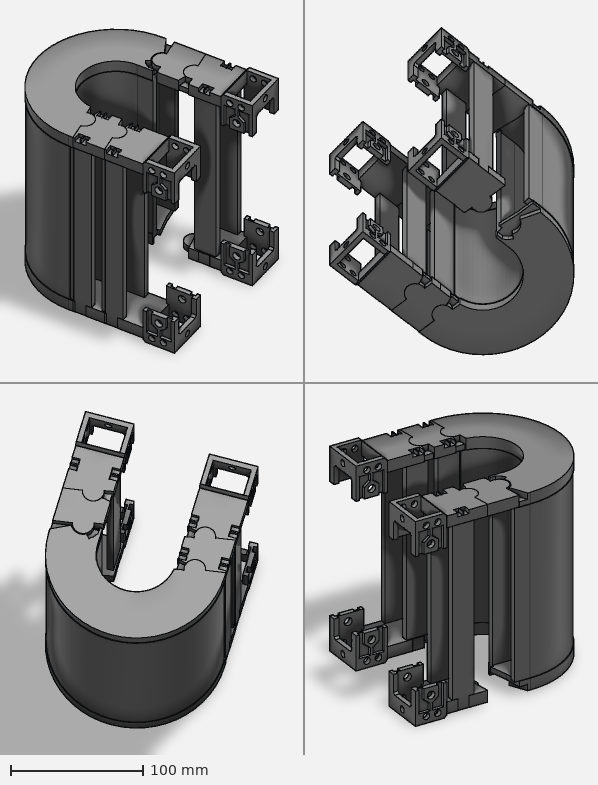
import cadquery as cq
import math

HEIGHT = 175.4
LENGTH = 171.0
DEPTH = 138.0
OUTER_R = DEPTH / 2
INNER_R = 30.7
LEG_WIDTH = OUTER_R - INNER_R
FRONT = -1
REAR = 1

PLATE_TOP = 84.7
PLATE_THICKNESS = 10.2
PLATE_BOTTOM = PLATE_TOP - PLATE_THICKNESS
LEG_PLATE_INSET = 0.2
LAP_DEPTH = 5.5
LAP_Z = PLATE_TOP - LAP_DEPTH

PITCH = 27.9
FRONT_BEND_KNOB_X = 0.0
FRONT_END_KNOB_X = FRONT_BEND_KNOB_X + PITCH
REAR_BEND_KNOB_X = 13.7
REAR_END_KNOB_X = REAR_BEND_KNOB_X + PITCH
KNOB_R = 8.2
KNOB_V = 15.0
SEAM_OUTER_U = 3.9
SEAM_SHOULDER_U = 1.5
SEAM_SHOULDER_V = KNOB_V + math.sqrt(KNOB_R**2 - SEAM_SHOULDER_U**2)
NOTCH_V = KNOB_V - KNOB_R
NOTCH_MALE_U = (-2.6, -3.9)
NOTCH_FEMALE_U = (3.2, 5.0)
NOTCH_FEMALE_V = KNOB_V - math.sqrt(KNOB_R**2 - NOTCH_FEMALE_U[0] ** 2)
TONGUE_INSET = 1.2
ZONE_REACH = 24.5
ZONE_MARGIN = 1.8

BEND_POCKET_R = 9.0
WEDGE_OUTER_U = 11.2
WEDGE_ROOT_U = 3.7
SWING_POCKET = [(0, 10.3), (7.2, 10.3), (10.9, 7.7), (8.6, 4.7), (4.9, 2.1), (0, 2.1)]

SHELL_INSET = 0.5
SHELL_WALL = 5.3
SHELL_FRONT_X = 0.9

BAR_WIDTH = 19.3
BAR_THICKNESS = 5.3
BAR_OUTER_INSET = 0.4
BAR_INNER_INSET = 1.5
FRONT_BAR_OFFSET = 0.9
REAR_BAR_X = 49.8
LIP_WIDTH = 3.3
LIP_DEPTH = 0.9
SLOT_OFFSET = 4.5
SLOT_WIDTH = 4.4
SLOT_RIB = 1.0
SLOT_REACH = 6.3
SLOT_DEPTH = 3.3

BRACKET_LENGTH = 27.9
BRACKET_HEIGHT = 30.2
BRACKET_WALL = 4.2
BRACKET_BRIDGE = 2.3
FRONT_BRACKET_X = 65.8
REAR_BRACKET_X = LENGTH - OUTER_R - BRACKET_LENGTH
SMALL_HOLE_D = 5.6
SMALL_HOLE_DROP = 6.0
SMALL_HOLE_X = (7.9, 18.0)
BOSS_HOLE_D = 6.7
BOSS_HOLE_DROP = 23.0
BOSS_WIDTH = 12.8
BOSS_SHOULDER_DROP = 20.3
RIB_WIDTH = 2.3
RIB_END_DROP = 16.3
RECESS_MARGIN = 3.0
RECESS_DROP = 9.8
RECESS_DEPTH = 2.6
DOORWAY_JAMB = 2.3
DOORWAY_CHAMFER = 1.8


def block(x0, x1, y0, y1, z0, z1):
    """Axis-aligned box between two corners; the Y limits may come in either order."""
    corner = (x0, min(y0, y1), z0)
    return cq.Workplane("XY").box(x1 - x0, abs(y1 - y0), z1 - z0, centered=False).translate(corner)


def with_mirror(upper):
    """A shape above the XY plane together with its mirror image below."""
    return upper.union(upper.mirror("XY"))


def across(side, v):
    """Y of a point at distance v from the inner face of a leg."""
    return side * (INNER_R + v)


def joint_prism(side, knob_x, outline, z0, z1):
    """Prism over a (u, v) outline placed at a knob centre."""
    points = [(knob_x - side * u, across(side, v)) for u, v in outline]
    return cq.Workplane("XY").workplane(offset=z0).polyline(points).close().extrude(z1 - z0)


def upper_prism(side, knob_x, outline):
    return joint_prism(side, knob_x, outline, LAP_Z, PLATE_TOP)


def knob_disc(side, knob_x, radius=KNOB_R):
    """Disc in the upper half of the plate."""
    plane = cq.Workplane("XY").workplane(offset=LAP_Z)
    return plane.center(knob_x, across(side, KNOB_V)).circle(radius).extrude(LAP_DEPTH)


def seam_zone(side, knob_x, reach):
    """Everything on one side of the seam: reach > 0 is the female side, reach < 0 the male side."""
    outline = [
        (reach, LEG_WIDTH + ZONE_MARGIN),
        (SEAM_OUTER_U, LEG_WIDTH + ZONE_MARGIN),
        (SEAM_OUTER_U, LEG_WIDTH),
        (SEAM_SHOULDER_U, SEAM_SHOULDER_V),
        (NOTCH_MALE_U[0], NOTCH_V),
        (NOTCH_MALE_U[1], 0),
        (NOTCH_MALE_U[1], -ZONE_MARGIN),
        (reach, -ZONE_MARGIN),
    ]
    return joint_prism(side, knob_x, outline, PLATE_BOTTOM, PLATE_TOP)


def make_male(plate, side, knob_x):
    """Trim a plate at the seam and add its knob."""
    return plate.cut(seam_zone(side, knob_x, ZONE_REACH)).union(knob_disc(side, knob_x))


def make_female(plate, side, knob_x):
    """Trim a plate at the seam, leaving a low tongue under the knob and under the open notch."""
    notch = [
        (NOTCH_MALE_U[1], 0),
        (NOTCH_MALE_U[0], NOTCH_V),
        (0, KNOB_V),
        (NOTCH_FEMALE_U[0], NOTCH_FEMALE_V),
        (NOTCH_FEMALE_U[1], 0),
    ]
    tongue_edge = [
        (NOTCH_MALE_U[1], 0),
        (NOTCH_MALE_U[1], TONGUE_INSET),
        (NOTCH_FEMALE_U[1], TONGUE_INSET),
        (NOTCH_FEMALE_U[1], 0),
    ]
    plate = plate.cut(seam_zone(side, knob_x, -ZONE_REACH)).cut(knob_disc(side, knob_x))
    plate = plate.cut(upper_prism(side, knob_x, notch))
    return plate.cut(joint_prism(side, knob_x, tongue_edge, PLATE_BOTTOM, LAP_Z))


def leg_plate(side, x0, x1):
    """Straight upper side plate, uncut."""
    y_range = (across(side, LEG_PLATE_INSET), across(side, LEG_WIDTH - LEG_PLATE_INSET))
    return block(x0, x1, *y_range, PLATE_BOTTOM, PLATE_TOP)


def bar_pair(side, x0):
    """Outer and inner bars joining the two side plates of a leg."""
    outer_v = LEG_WIDTH - BAR_OUTER_INSET
    outer = (across(side, outer_v), across(side, outer_v - BAR_THICKNESS))
    inner = (across(side, BAR_INNER_INSET), across(side, BAR_INNER_INSET + BAR_THICKNESS))
    z_range = (-PLATE_BOTTOM, PLATE_BOTTOM)
    return block(x0, x0 + BAR_WIDTH, *outer, *z_range).union(block(x0, x0 + BAR_WIDTH, *inner, *z_range))


def cut_bar_lip(body, side, x0):
    """Thin the leading edge of the outer bar where it meets the neighbouring body."""
    lip_v = LEG_WIDTH - BAR_OUTER_INSET - LIP_DEPTH
    y_range = (across(side, lip_v), across(side, LEG_WIDTH))
    return body.cut(block(x0, x0 + LIP_WIDTH, *y_range, -PLATE_BOTTOM, PLATE_BOTTOM))


def cut_bar_seats(body, side, x0):
    """Latch slots in the upper plate and shallow grooves in the lower plate, at both ends of the bars."""
    first_x = x0 + SLOT_OFFSET
    second_x = first_x + SLOT_WIDTH + SLOT_RIB
    slot_z = PLATE_TOP - SLOT_DEPTH
    for v_edge, inward in ((0, 1), (LEG_WIDTH, -1)):
        y_edge = across(side, v_edge)
        slot_y = across(side, v_edge + inward * SLOT_REACH)
        groove_y = across(side, v_edge + inward * BAR_OUTER_INSET)
        for x in (first_x, second_x):
            body = body.cut(block(x, x + SLOT_WIDTH, y_edge, slot_y, slot_z, PLATE_TOP))
        body = body.cut(block(first_x, second_x + SLOT_WIDTH, y_edge, groove_y, -PLATE_TOP, -PLATE_BOTTOM))
    return body


def add_bars(plates, side, x0):
    return cut_bar_seats(plates.union(bar_pair(side, x0)), side, x0)


def wall_recess(x0):
    """Shallow recess in a bracket side wall, around a boss that hangs from a narrow rib; in XZ."""
    top = HEIGHT / 2
    bottom = top - BRACKET_HEIGHT
    middle = x0 + BRACKET_LENGTH / 2
    recess = (
        cq.Workplane("XZ")
        .moveTo(x0 + RECESS_MARGIN, bottom)
        .lineTo(x0 + RECESS_MARGIN, top - RECESS_DROP)
        .lineTo(x0 + BRACKET_LENGTH - RECESS_MARGIN, top - RECESS_DROP)
        .lineTo(x0 + BRACKET_LENGTH - RECESS_MARGIN, bottom)
        .close()
        .extrude(-RECESS_DEPTH)
    )
    half_profile = [
        (BOSS_WIDTH / 2, bottom),
        (BOSS_WIDTH / 2, top - BOSS_SHOULDER_DROP),
        (RIB_WIDTH / 2, top - RIB_END_DROP),
        (RIB_WIDTH / 2, top - RECESS_DROP),
    ]
    right = [(middle + dx, z) for dx, z in half_profile]
    left = [(middle - dx, z) for dx, z in reversed(half_profile)]
    boss = cq.Workplane("XZ").polyline(right + left).close().extrude(-RECESS_DEPTH)
    return recess.cut(boss)


def side_holes(x0):
    """Two small holes and one boss hole that pass through both side walls; spans all Y."""
    top = HEIGHT / 2
    small = [(x0 + dx, top - SMALL_HOLE_DROP) for dx in SMALL_HOLE_X]
    boss = (x0 + BRACKET_LENGTH / 2, top - BOSS_HOLE_DROP)
    plane = cq.Workplane("XZ")
    holes = plane.pushPoints(small).circle(SMALL_HOLE_D / 2).extrude(OUTER_R, both=True)
    return holes.union(plane.pushPoints([boss]).circle(BOSS_HOLE_D / 2).extrude(OUTER_R, both=True))


def end_wall_cutters(side, x_end):
    """Chamfered doorway and hole through the +X wall."""
    top = HEIGHT / 2
    middle_y = across(side, LEG_WIDTH / 2)
    half = LEG_WIDTH / 2 - BRACKET_WALL - DOORWAY_JAMB
    bottom = top - BRACKET_HEIGHT
    doorway = [
        (middle_y - half, bottom),
        (middle_y - half, PLATE_BOTTOM - DOORWAY_CHAMFER),
        (middle_y - half + DOORWAY_CHAMFER, PLATE_BOTTOM),
        (middle_y + half - DOORWAY_CHAMFER, PLATE_BOTTOM),
        (middle_y + half, PLATE_BOTTOM - DOORWAY_CHAMFER),
        (middle_y + half, bottom),
    ]
    plane = cq.Workplane("YZ").workplane(offset=x_end)
    hole = plane.center(middle_y, top - SMALL_HOLE_DROP).circle(SMALL_HOLE_D / 2).extrude(-BRACKET_WALL)
    return plane.polyline(doorway).close().extrude(-BRACKET_WALL).union(hole)


def bracket(side, x0):
    """Upper bracket: a rectangular frame with open bottom, its bridge as deep as the side plate."""
    top = HEIGHT / 2
    bottom = top - BRACKET_HEIGHT
    x_end = x0 + BRACKET_LENGTH
    inside = (across(side, BRACKET_WALL), across(side, LEG_WIDTH - BRACKET_WALL))
    y_low, y_high = sorted((across(side, 0), across(side, LEG_WIDTH)))
    frame = block(x0, x_end, y_low, y_high, bottom, top)
    frame = frame.faces("<X").edges(">Z").chamfer(BRACKET_BRIDGE)
    frame = frame.cut(block(x0 + BRACKET_BRIDGE, x_end - BRACKET_WALL, *inside, bottom, top))
    frame = frame.cut(block(x0, x0 + BRACKET_BRIDGE, *inside, bottom, PLATE_BOTTOM))
    frame = frame.cut(end_wall_cutters(side, x_end)).cut(side_holes(x0))
    recess = wall_recess(x0)
    frame = frame.cut(recess.translate((0, y_low, 0)))
    return frame.cut(recess.translate((0, y_high - RECESS_DEPTH, 0)))


def u_prism(inset, front_x, rear_x, z0, z1):
    """U-shaped prism: half ring with straight legs, inset from both leg faces."""
    outer = OUTER_R - inset
    inner = INNER_R + inset
    return (
        cq.Workplane("XY")
        .workplane(offset=z0)
        .moveTo(front_x, -outer)
        .lineTo(0, -outer)
        .threePointArc((-outer, 0), (0, outer))
        .lineTo(rear_x, outer)
        .lineTo(rear_x, inner)
        .lineTo(0, inner)
        .threePointArc((-inner, 0), (0, -inner))
        .lineTo(front_x, -inner)
        .close()
        .extrude(z1 - z0)
    )


def bend_plate():
    """Upper plate of the bend: a knob on the front leg, a clearance seat for the link on the rear leg."""
    knob_x = REAR_BEND_KNOB_X
    plate = u_prism(0, FRONT_BEND_KNOB_X + KNOB_R, knob_x + KNOB_R, PLATE_BOTTOM, PLATE_TOP)
    plate = make_male(plate, FRONT, FRONT_BEND_KNOB_X)
    wedge = [
        (WEDGE_OUTER_U, LEG_WIDTH),
        (WEDGE_ROOT_U, SEAM_SHOULDER_V),
        (SEAM_SHOULDER_U, SEAM_SHOULDER_V),
        (SEAM_OUTER_U, LEG_WIDTH),
    ]
    inner_end = [(0, 0), (0, NOTCH_V), (-KNOB_R, NOTCH_V), (-KNOB_R, 0)]
    plate = plate.cut(seam_zone(REAR, knob_x, -ZONE_REACH))
    plate = plate.cut(knob_disc(REAR, knob_x, BEND_POCKET_R))
    plate = plate.cut(upper_prism(REAR, knob_x, wedge))
    plate = plate.cut(upper_prism(REAR, knob_x, SWING_POCKET))
    return plate.cut(joint_prism(REAR, knob_x, inner_end, PLATE_BOTTOM, PLATE_TOP))


def make_bend():
    """Hollow U-shaped bend: two side plates joined by an outer and an inner wall."""
    extent = (SHELL_FRONT_X, REAR_BEND_KNOB_X, -PLATE_BOTTOM, PLATE_BOTTOM)
    shell = u_prism(SHELL_INSET, *extent)
    shell = shell.cut(u_prism(SHELL_INSET + SHELL_WALL, *extent))
    return shell.union(with_mirror(bend_plate()))


def make_front_link():
    bar_x = FRONT_BEND_KNOB_X + FRONT_BAR_OFFSET
    plate = leg_plate(FRONT, FRONT_BEND_KNOB_X - KNOB_R, FRONT_END_KNOB_X + KNOB_R)
    plate = make_female(plate, FRONT, FRONT_BEND_KNOB_X)
    plate = make_male(plate, FRONT, FRONT_END_KNOB_X)
    return cut_bar_lip(add_bars(with_mirror(plate), FRONT, bar_x), FRONT, bar_x)


def make_rear_link():
    """Single plate, with no bars, on the upper side of the rear leg."""
    plate = leg_plate(REAR, REAR_BEND_KNOB_X - KNOB_R, REAR_END_KNOB_X + KNOB_R)
    plate = make_male(plate, REAR, REAR_BEND_KNOB_X)
    return make_female(plate, REAR, REAR_END_KNOB_X)


def make_front_end():
    bar_x = FRONT_END_KNOB_X + FRONT_BAR_OFFSET
    plate = leg_plate(FRONT, FRONT_END_KNOB_X - KNOB_R, FRONT_BRACKET_X)
    plate = make_female(plate, FRONT, FRONT_END_KNOB_X)
    plates = with_mirror(plate.union(bracket(FRONT, FRONT_BRACKET_X)))
    return cut_bar_lip(add_bars(plates, FRONT, bar_x), FRONT, bar_x)


def make_rear_end():
    plate = leg_plate(REAR, REAR_END_KNOB_X - KNOB_R, REAR_BRACKET_X)
    plate = make_male(plate, REAR, REAR_END_KNOB_X)
    plates = with_mirror(plate.union(bracket(REAR, REAR_BRACKET_X)))
    return add_bars(plates, REAR, REAR_BAR_X)


bend = make_bend()
front_link = make_front_link()
rear_link = make_rear_link()
front_end = make_front_end()
rear_end = make_rear_end()

bodies = [bend, front_link, rear_link, front_end, rear_end]
result = cq.Compound.makeCompound([body.val() for body in bodies])